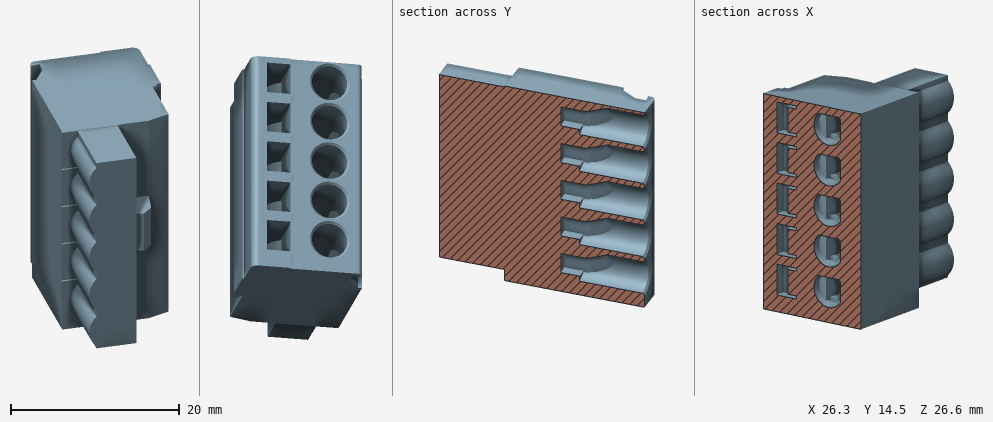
import cadquery as cq

POLES = 5
PITCH = 5.0

HEIGHT = 26.6
DEPTH = 14.5
BODY_END = 18.03
LENGTH = 26.3

WIRE_FACE_X = 0.2
BUTTON_FACE_Y = 9.6
SHOULDER_Y = 14.28
SHOULDER_RADIUS = 0.9
RIDGE_START_X = 4.58
RIDGE_END_X = 9.47
STEP_X = 10.0
STEP_Y = 13.89
REAR_TOP_Y = 13.33
REAR_TOP_X = 17.08
LATCH_TOP_Y = 10.65

LIP_Y = 0.88
LIP_RADIUS = 0.6
LIP_TIP_X = 1.25
NOTCH_X = 1.05
NOTCH_Y = 1.9
NOTCH_END_X = 2.47
RAMP_END_X = 4.68
RAMP_END_Y = 0.5

GROOVE_DEPTH = 0.1
GROOVE_TOP_Y = 6.97

BUTTON_TOP_Z = 24.0
BUTTON_MAX_Y = 12.48
BUTTON_HEIGHT = 3.75
BUTTON_DEPTH = 7.98
SPRING_HEIGHT = 3.1
SPRING_RADIUS = 3.2
SPRING_MAX_Y = 11.17

WIRE_TOP_Z = 24.05
WIRE_Y = 4.81
WIRE_RADIUS = 2.13
WIRE_CHAMFER = 0.27
WIRE_DEPTH = 7.45
FUNNEL_LENGTH = 2.65
CLAMP_MIN_Y = 3.38
CLAMP_MAX_Y = 5.98
CLAMP_END_MAX_Y = 5.6
CLAMP_HEIGHT = 2.53
CLAMP_DROP = 0.15
CLAMP_DEPTH = 3.2
RECESS_DEPTH = 0.8

NOSE_TOP_Z = 26.47
NOSE_MAX_Y = 6.8
NOSE_BOTTOM_Z = 1.52
NOSE_MIN_Y = 1.92
BARREL_MIN_Y = 1.05
BARREL_RADIUS = 2.7
BARREL_TOP_Z = 23.8

LATCH_BOTTOM_Y = 8.33
LATCH_BEND_X = 21.0
LATCH_BEND_Y = 10.1
LATCH_TIP_X = 22.1
LATCH_TIP_Y = 8.95
HOOK_START_X = 20.9
HOOK_LOW_X = 21.35
HOOK_LOW_Y = 7.95
HOOK_FLAT = 0.3
HOOK_CHAMFER = 0.25
LATCH_WIDTH = PITCH


def pole_levels(top_z):
    """Z of a feature repeated once per pole, from the uppermost pole down."""
    return [top_z - i * PITCH for i in range(POLES)]


def box(x0, x1, y0, y1, z0, z1):
    """Block spanning the given limits on each axis."""
    return cq.Workplane("XY").box(x1 - x0, y1 - y0, z1 - z0, centered=False).translate((x0, y0, z0))


def prism(points, z0, height):
    """Closed XY outline extruded upward from z0."""
    return cq.Workplane("XY").workplane(offset=z0).polyline(points).close().extrude(height)


def housing():
    """Constant outline over the full height, with its lip, ridge and steps."""
    return (
        cq.Workplane("XY")
        .moveTo(RAMP_END_X, 0)
        .lineTo(BODY_END, 0)
        .lineTo(BODY_END, LATCH_TOP_Y)
        .lineTo(REAR_TOP_X, REAR_TOP_Y)
        .lineTo(STEP_X, REAR_TOP_Y)
        .lineTo(STEP_X, STEP_Y)
        .lineTo(RIDGE_END_X, STEP_Y)
        .lineTo(RIDGE_END_X, DEPTH)
        .lineTo(RIDGE_START_X, DEPTH)
        .lineTo(RIDGE_START_X, SHOULDER_Y)
        .lineTo(SHOULDER_RADIUS, SHOULDER_Y)
        .radiusArc((0, SHOULDER_Y - SHOULDER_RADIUS), -SHOULDER_RADIUS)
        .lineTo(0, BUTTON_FACE_Y)
        .lineTo(WIRE_FACE_X, BUTTON_FACE_Y)
        .lineTo(WIRE_FACE_X, LIP_Y + LIP_RADIUS)
        .radiusArc((WIRE_FACE_X + LIP_RADIUS, LIP_Y), -LIP_RADIUS)
        .lineTo(LIP_TIP_X, LIP_Y)
        .lineTo(NOTCH_X, NOTCH_Y)
        .lineTo(NOTCH_END_X, NOTCH_Y)
        .lineTo(RAMP_END_X, RAMP_END_Y)
        .close()
        .extrude(HEIGHT)
    )


def rear_groove(z):
    """V groove across the lower rear face, centred on height z."""
    return (
        cq.Workplane("XZ")
        .moveTo(BODY_END - GROOVE_DEPTH, z)
        .lineTo(BODY_END, z - GROOVE_DEPTH)
        .lineTo(BODY_END, z + GROOVE_DEPTH)
        .close()
        .extrude(-GROOVE_TOP_Y)
    )


def button_pocket(z):
    """Rectangular pocket with the rounded spring left standing on its floor."""
    half = BUTTON_HEIGHT / 2
    pocket = box(0, BUTTON_DEPTH, BUTTON_FACE_Y, BUTTON_MAX_Y, z - half, z + half)
    spring = (
        cq.Workplane("XY")
        .workplane(offset=z - SPRING_HEIGHT / 2)
        .center(BUTTON_DEPTH, SPRING_MAX_Y - SPRING_RADIUS)
        .circle(SPRING_RADIUS)
        .extrude(SPRING_HEIGHT)
    )
    return pocket.cut(spring)


def bore_cylinder(z, length):
    """Round wire bore running inward from the wire entry face."""
    return cq.Workplane("YZ", origin=(WIRE_FACE_X, WIRE_Y, z)).circle(WIRE_RADIUS).extrude(length)


def wire_entry(z):
    """Chamfered round entry, tapered on two sides, ending in a rectangular clamp hole."""
    floor_x = WIRE_FACE_X + WIRE_DEPTH
    taper_x = floor_x - FUNNEL_LENGTH
    edge_y = WIRE_Y - WIRE_RADIUS
    clamp_z = z - CLAMP_DROP
    clamp_top = clamp_z + CLAMP_HEIGHT / 2
    clamp_bottom = clamp_z - CLAMP_HEIGHT / 2
    mouth = cq.Workplane("XY").add(
        cq.Solid.makeCone(
            WIRE_RADIUS + WIRE_CHAMFER, WIRE_RADIUS, WIRE_CHAMFER,
            pnt=cq.Vector(WIRE_FACE_X, WIRE_Y, z), dir=cq.Vector(1, 0, 0),
        )
    )
    top_taper = (
        cq.Workplane("XZ", origin=(0, edge_y, 0))
        .polyline([(taper_x, z + WIRE_RADIUS), (floor_x, z + WIRE_RADIUS), (floor_x, clamp_top)])
        .close()
        .extrude(-2 * WIRE_RADIUS)
    )
    side_taper = prism(
        [(taper_x, edge_y), (floor_x, edge_y), (floor_x, CLAMP_MIN_Y)], clamp_bottom, 2 * WIRE_RADIUS
    )
    clamp_end = floor_x + CLAMP_DEPTH
    clamp_outline = [
        (floor_x, CLAMP_MIN_Y),
        (clamp_end, CLAMP_MIN_Y),
        (clamp_end, CLAMP_END_MAX_Y),
        (floor_x, CLAMP_MAX_Y),
    ]
    clamp_hole = prism(clamp_outline, clamp_bottom, CLAMP_HEIGHT)
    bore_bottom = z - WIRE_RADIUS
    deeper_bore = bore_cylinder(z, WIRE_DEPTH + RECESS_DEPTH)
    recess = prism(clamp_outline, bore_bottom, clamp_bottom - bore_bottom).intersect(deeper_bore)
    tapered_bore = bore_cylinder(z, WIRE_DEPTH).cut(top_taper).cut(side_taper)
    return tapered_bore.union(mouth).union(recess).union(clamp_hole)


def plug_nose():
    """Rectangular nose with a row of part-round barrels along its -Y side."""
    root_x = BODY_END - GROOVE_DEPTH
    nose = box(root_x, LENGTH, NOSE_MIN_Y, NOSE_MAX_Y, NOSE_BOTTOM_Z, NOSE_TOP_Z)
    for z in pole_levels(BARREL_TOP_Z):
        barrel = (
            cq.Workplane("YZ", origin=(root_x, BARREL_MIN_Y + BARREL_RADIUS, z))
            .circle(BARREL_RADIUS)
            .extrude(LENGTH - root_x)
        )
        beyond_nose = box(root_x, LENGTH, BARREL_MIN_Y, NOSE_MIN_Y, z - PITCH / 2, z + PITCH / 2)
        nose = nose.union(barrel.intersect(beyond_nose))
    return nose


def latch():
    """Snap arm with a hooked tip, centred on the plug nose along Z."""
    outline = [
        (BODY_END, LATCH_BOTTOM_Y),
        (HOOK_START_X, LATCH_BOTTOM_Y),
        (HOOK_LOW_X, HOOK_LOW_Y),
        (HOOK_LOW_X + HOOK_FLAT, HOOK_LOW_Y),
        (HOOK_LOW_X + HOOK_FLAT + HOOK_CHAMFER, HOOK_LOW_Y + HOOK_CHAMFER),
        (LATCH_TIP_X, LATCH_TIP_Y),
        (LATCH_BEND_X, LATCH_BEND_Y),
        (BODY_END, LATCH_TOP_Y),
    ]
    return prism(outline, (NOSE_BOTTOM_Z + NOSE_TOP_Z - LATCH_WIDTH) / 2, LATCH_WIDTH)


result = housing()
for pole_top in pole_levels(HEIGHT):
    result = result.cut(rear_groove(pole_top))
for pole_z in pole_levels(BUTTON_TOP_Z):
    result = result.cut(button_pocket(pole_z))
for pole_z in pole_levels(WIRE_TOP_Z):
    result = result.cut(wire_entry(pole_z))
result = result.union(plug_nose()).union(latch())